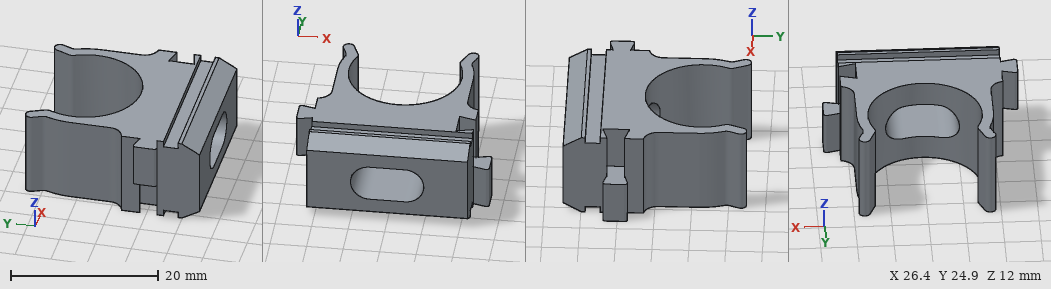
import cadquery as cq
import math


overall_width = 26.4
height = 12.0
base_half_width = 11.0

bore_center_y = 18.5
bore_radius = 7.75
arm_thickness = 1.53
arm_outer_radius = bore_radius + arm_thickness
shoulder_radius = 2.0
shoulder_center_y = 12.9

overall_length = 24.85
lip_angle = math.radians(22.7)
tip_radius = arm_thickness / 2
tip_center_x = arm_outer_radius - tip_radius
tip_center_y = overall_length - tip_radius
kink_radius = 1.0

groove_near_y = 3.0
groove_far_y = 5.05
groove_depth = 0.85
foot_chamfer_length = 2.48
foot_chamfer_drop = 1.43

slot_length = 10.03
slot_height = 5.17

dovetail_center_y = 7.15
dovetail_neck_half = 1.2
dovetail_slope = math.tan(math.radians(15))
tab_length = (overall_width - base_half_width * 2) / 2
tab_corner_radius = 0.4
socket_depth = 2.3


def lip_meets_circle(radius, start):
    """Point where the lip face running down from start meets an arm circle."""
    run_x = -math.sin(lip_angle)
    run_y = -math.cos(lip_angle)
    from_center_x = start[0]
    from_center_y = start[1] - bore_center_y
    along = from_center_x * run_x + from_center_y * run_y
    gap = from_center_x**2 + from_center_y**2 - radius**2
    distance = -along - math.sqrt(along**2 - gap)
    return (start[0] + distance * run_x, start[1] + distance * run_y)


def arc_middle(radius, point):
    """Point on an arm circle halfway between the +X side and the given point."""
    angle = math.atan2(point[1] - bore_center_y, point[0]) / 2
    return (radius * math.cos(angle), bore_center_y + radius * math.sin(angle))


def make_clip():
    """Base and clip as one symmetric extrusion, before the foot is shaped."""
    across_x = tip_radius * math.cos(lip_angle)
    across_y = tip_radius * math.sin(lip_angle)
    lip_outer = (tip_center_x + across_x, tip_center_y - across_y)
    lip_inner = (tip_center_x - across_x, tip_center_y + across_y)
    tip_end = (
        tip_center_x + tip_radius * math.sin(lip_angle),
        tip_center_y + tip_radius * math.cos(lip_angle),
    )
    kink_outer = lip_meets_circle(arm_outer_radius, lip_outer)
    kink_inner = lip_meets_circle(bore_radius, lip_inner)

    shoulder_center_x = arm_outer_radius + shoulder_radius
    wall_gap = shoulder_center_x - base_half_width
    shoulder_y = shoulder_center_y - math.sqrt(shoulder_radius**2 - wall_gap**2)
    diagonal = shoulder_radius * math.sqrt(0.5)

    clip = (
        cq.Workplane("XY", origin=(0, 0, -height / 2))
        .lineTo(base_half_width, 0)
        .lineTo(base_half_width, shoulder_y)
        .threePointArc(
            (shoulder_center_x - diagonal, shoulder_center_y - diagonal),
            (arm_outer_radius, shoulder_center_y),
        )
        .lineTo(arm_outer_radius, bore_center_y)
        .threePointArc(arc_middle(arm_outer_radius, kink_outer), kink_outer)
        .lineTo(*lip_outer)
        .threePointArc(tip_end, lip_inner)
        .lineTo(*kink_inner)
        .lineTo(0, kink_inner[1])
        .mirrorY()
        .extrude(height)
    )
    bore = cq.Workplane("XY").center(0, bore_center_y).circle(bore_radius).extrude(height, both=True)
    clip = clip.cut(bore)

    for kink in (kink_outer, kink_inner):
        for side in (-1, 1):
            kink_edge = cq.selectors.NearestToPointSelector((side * kink[0], kink[1], 0))
            clip = clip.edges(kink_edge).fillet(kink_radius)
    return clip


def cut_foot(body):
    """Cut the rail groove and the front bevel on the top and bottom of the foot."""
    top = height / 2
    groove = (
        cq.Workplane("YZ")
        .moveTo(groove_near_y, top)
        .lineTo(groove_near_y, top - groove_depth)
        .lineTo(groove_far_y, top - groove_depth)
        .lineTo(groove_far_y, top)
        .close()
        .extrude(base_half_width, both=True)
    )
    bevel = (
        cq.Workplane("YZ")
        .moveTo(0, top)
        .lineTo(0, top - foot_chamfer_drop)
        .lineTo(foot_chamfer_length, top)
        .close()
        .extrude(base_half_width, both=True)
    )
    for cutter in (groove, bevel):
        body = body.cut(cutter).cut(cutter.mirror("XY"))
    return body


def make_screw_slot():
    """Slot running along Y from the mounting face into the bore."""
    return cq.Workplane("XZ").slot2D(slot_length, slot_height).extrude(-bore_center_y)


def make_dovetail(length):
    """Upper-half dovetail that widens from the -X side wall: outward if length > 0."""
    end_half = dovetail_neck_half + abs(length) * dovetail_slope
    wall_x = -base_half_width
    end_x = wall_x - length
    return (
        cq.Workplane("XY")
        .moveTo(wall_x, dovetail_center_y - dovetail_neck_half)
        .lineTo(end_x, dovetail_center_y - end_half)
        .lineTo(end_x, dovetail_center_y + end_half)
        .lineTo(wall_x, dovetail_center_y + dovetail_neck_half)
        .close()
        .extrude(height / 2)
    )


result = cut_foot(make_clip())
result = result.cut(make_screw_slot())

tab = make_dovetail(tab_length).edges("|Z and <X").fillet(tab_corner_radius)
socket = make_dovetail(-socket_depth)
y_axis = ((0, 0, 0), (0, 1, 0))
result = result.cut(socket.mirror("XY")).cut(socket.mirror("YZ"))
result = result.union(tab).union(tab.rotate(*y_axis, 180))